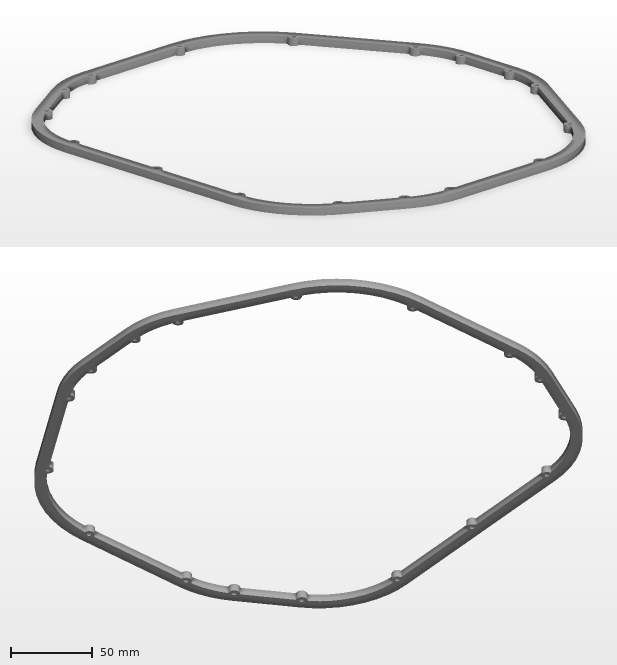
import cadquery as cq
import math

HEIGHT_Y = 300.7
WIDTH_X = 325.56
THICKNESS = 5.0
RIM_WIDTH = 7.5

HOLE_DIAMETER = 3.0
BOSS_RADIUS = 3.5
BOSS_BLEND = 1.0
TOLERANCE = 1e-3

CORNER_RADIUS = 70.0
SHOULDER_RADIUS = 80.0
WIDE_TURN = 60.0
SLIGHT_TURN = 30.0

BOTTOM_HALF = 71.78
UPPER_SLOPE = 77.1

wide = math.radians(WIDE_TURN)
slight = math.radians(SLIGHT_TURN)

LOWER_SLOPE = (WIDTH_X / 2 - BOTTOM_HALF - CORNER_RADIUS) / math.cos(wide)

SIDE = (
    HEIGHT_Y
    - CORNER_RADIUS
    - LOWER_SLOPE * math.sin(wide)
    - SHOULDER_RADIUS * math.sin(wide)
    - UPPER_SLOPE * math.sin(slight)
    - CORNER_RADIUS * (1 - math.cos(slight))
)

RUNS = [BOTTOM_HALF, LOWER_SLOPE, SIDE, UPPER_SLOPE]
CORNERS = [
    (CORNER_RADIUS, WIDE_TURN),
    (CORNER_RADIUS, SLIGHT_TURN),
    (SHOULDER_RADIUS, WIDE_TURN),
    (CORNER_RADIUS, SLIGHT_TURN),
]


def half_path(inset):
    """Corner arcs (start, middle, end) of the right half, moved inward by inset."""
    x, y = 0.0, inset - HEIGHT_Y / 2
    heading = 0.0
    arcs = []
    for run, (outer_radius, turn) in zip(RUNS, CORNERS):
        x += run * math.cos(heading)
        y += run * math.sin(heading)
        radius = outer_radius - inset
        center_x = x - radius * math.sin(heading)
        center_y = y + radius * math.cos(heading)
        arc = []
        for fraction in (0, 0.5, 1):
            angle = heading + fraction * math.radians(turn)
            arc.append((center_x + radius * math.sin(angle), center_y - radius * math.cos(angle)))
        arcs.append(arc)
        x, y = arc[-1]
        heading += math.radians(turn)
    return arcs


def mirrored(point):
    return (-point[0], point[1])


def full_path(inset):
    """Corner arcs of the whole closed path, counterclockwise from the bottom middle."""
    right = half_path(inset)
    left = [[mirrored(point) for point in reversed(arc)] for arc in reversed(right)]
    return right + left


def plate(inset):
    """Solid plate bounded by the path at the given inset."""
    sketch = cq.Workplane("XY").moveTo(0, inset - HEIGHT_Y / 2)
    for start, middle, end in full_path(inset):
        sketch = sketch.lineTo(*start).threePointArc(middle, end)
    return sketch.close().extrude(THICKNESS)


def boss_centers():
    """One boss at the bottom middle and one at both ends of every corner arc."""
    centers = [(0, RIM_WIDTH - HEIGHT_Y / 2)]
    for start, _, end in full_path(RIM_WIDTH):
        centers += [start, end]
    return centers


def boss_columns(radius):
    """A full-height cylinder of the given radius at every boss centre."""
    return cq.Workplane("XY").pushPoints(boss_centers()).circle(radius).extrude(THICKNESS)


def boss_root_edges(body):
    """Upright edges where the boss walls meet the inner wall of the rim."""
    roots = []
    for edge in body.edges("|Z").vals():
        place = edge.Center()
        for x, y in boss_centers():
            distance = math.hypot(place.x - x, place.y - y)
            if abs(distance - BOSS_RADIUS) < TOLERANCE:
                roots.append(edge)
    return body.newObject(roots)


rim = plate(0).cut(plate(RIM_WIDTH))
body = rim.union(boss_columns(BOSS_RADIUS))
body = boss_root_edges(body).fillet(BOSS_BLEND)
result = body.cut(boss_columns(HOLE_DIAMETER / 2))